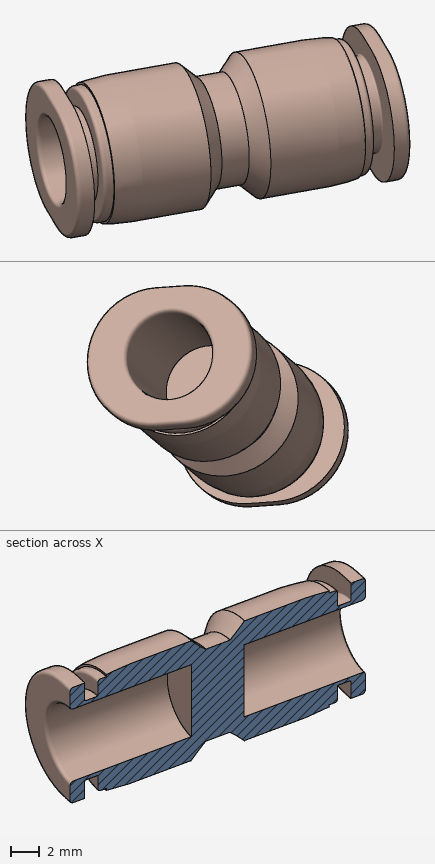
import cadquery as cq

length = 24.4
half_length = length / 2

flange_width = 12.0
flange_height = 10.0
flange_thickness = 1.22
edge_radius = 0.3

neck_diameter = 6.9
neck_root_radius = 0.12
bore_diameter = 6.2
bore_depth = 10.0

collar_diameter = 9.7
shoulder_diameter = 10.03
body_diameter = 10.4
waist_diameter = 8.0

collar_start = 2.3
collar_edge = 0.27
shoulder_start = 3.0
barrel_start = 5.0
barrel_end = 10.0

flange_inner_y = half_length - flange_thickness
collar_y = half_length - collar_start
shoulder_y = half_length - shoulder_start
barrel_outer_y = half_length - barrel_start
barrel_inner_y = half_length - barrel_end
waist_y = barrel_inner_y - (body_diameter - waist_diameter) / 2


def revolve_about_y(profile):
    return profile.close().revolve(360, (0, 0, 0), (0, 1, 0))


def make_body():
    """Half of the turned body, from the end of the waist to the rounded collar."""
    profile = (
        cq.Workplane("XY")
        .moveTo(0, waist_y)
        .lineTo(waist_diameter / 2, waist_y)
        .lineTo(body_diameter / 2, barrel_inner_y)
        .lineTo(body_diameter / 2, barrel_outer_y)
        .tangentArcPoint((shoulder_diameter / 2, shoulder_y), relative=False)
        .lineTo(collar_diameter / 2, shoulder_y)
        .lineTo(collar_diameter / 2, collar_y)
        .lineTo(0, collar_y)
    )
    return revolve_about_y(profile).faces(">Y").edges().fillet(collar_edge)


def make_release_sleeve():
    """Neck with an oblong flange whose round ends meet two short flats."""
    neck_radius = neck_diameter / 2
    root_y = flange_inner_y - neck_root_radius
    neck = revolve_about_y(
        cq.Workplane("XY")
        .moveTo(0, collar_y)
        .lineTo(neck_radius, collar_y)
        .lineTo(neck_radius, root_y)
        .tangentArcPoint((neck_radius + neck_root_radius, flange_inner_y), relative=False)
        .lineTo(0, flange_inner_y)
    )
    flange = (
        cq.Workplane("XZ", origin=(0, flange_inner_y, 0))
        .slot2D(flange_width, flange_height)
        .extrude(-flange_thickness)
        .faces(">Y")
        .edges()
        .fillet(edge_radius)
    )
    return flange.union(neck)


def make_bore():
    """Blind tube socket with a rounded mouth."""
    bore_radius = bore_diameter / 2
    profile = (
        cq.Workplane("XY")
        .moveTo(0, half_length - bore_depth)
        .lineTo(bore_radius, half_length - bore_depth)
        .lineTo(bore_radius, half_length - edge_radius)
        .tangentArcPoint((bore_radius + edge_radius, half_length), relative=False)
        .lineTo(0, half_length)
    )
    return revolve_about_y(profile)


def make_waist():
    """Solid cylinder joining the two halves."""
    return cq.Workplane("XZ", origin=(0, waist_y, 0)).circle(waist_diameter / 2).extrude(2 * waist_y)


half = make_body().union(make_release_sleeve()).cut(make_bore())
result = make_waist().union(half).union(half.mirror("XZ"))